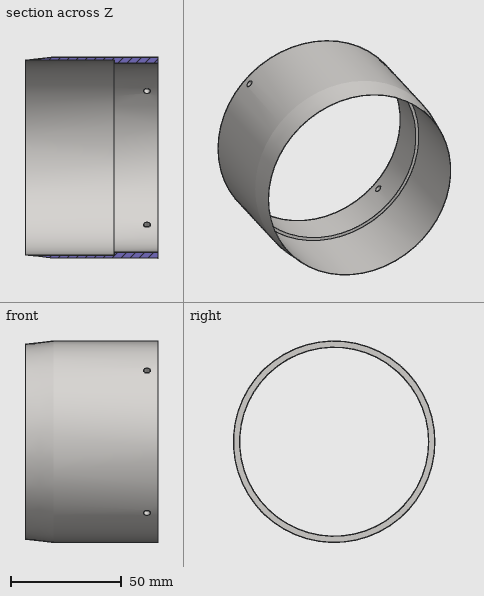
import cadquery as cq

length = 60.0
outer_radius = 45.6
mouth_radius = 44.2
bore_radius = 42.7
taper_length = 12.8
socket_depth = 40.15

hole_diameter = 3.0
hole_setback = 5.0
hole_count = 4
first_hole_angle = 45.0
hole_overshoot = 4.6


def make_sleeve():
    """Revolve the wall: outer taper, and a wide socket that steps in to the bore."""
    wall = [
        (0, mouth_radius),
        (taper_length, outer_radius),
        (length, outer_radius),
        (length, bore_radius),
        (socket_depth, bore_radius),
        (socket_depth, mouth_radius),
    ]
    profile = cq.Workplane("XY").polyline(wall).close()
    return profile.revolve(360, (0, 0, 0), (1, 0, 0))


def make_radial_hole(angle):
    """Cutter reaching from the axis out through the wall, turned about X."""
    cutter = (
        cq.Workplane("XY")
        .center(length - hole_setback, 0)
        .circle(hole_diameter / 2)
        .extrude(outer_radius + hole_overshoot)
    )
    return cutter.rotate((0, 0, 0), (1, 0, 0), angle)


result = make_sleeve()
for index in range(hole_count):
    result = result.cut(make_radial_hole(first_hole_angle + index * 360 / hole_count))